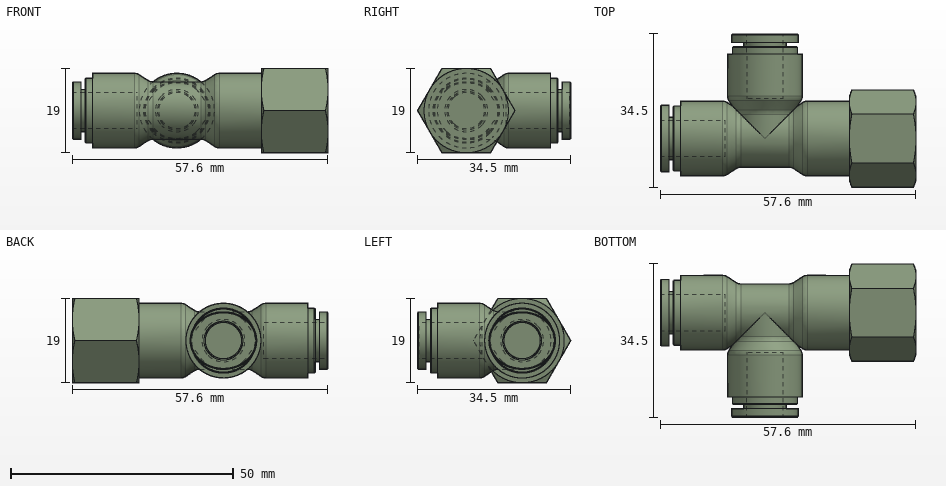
import cadquery as cq
import math


WAIST_DIAMETER = 12.95
SOCKET_DIAMETER = 16.9
WAIST_END = 6.0
SOCKET_START = 9.0
ARM_LENGTH = 19
SHOULDER_FILLET = 1.9

BORE_DIAMETER = 8.2
BORE_MOUTH_CHAMFER = 0.3
MOUTH_CONE_ANGLE = 90

COLLAR_DIAMETER = 14.7
COLLAR_WIDTH = 1.65
COLLAR_CHAMFER = 0.25

NECK_DIAMETER = 9.6
NECK_LENGTH = 0.9
FLANGE_LONG_AXIS = 15.05
FLANGE_SHORT_AXIS = 12.95
FLANGE_THICKNESS = 1.95
FLANGE_CHAMFER = 0.25

HEX_ACROSS_FLATS = 19
HEX_ACROSS_CORNERS = HEX_ACROSS_FLATS / math.cos(math.radians(30))
HEX_LENGTH = 15.05
HEX_CHAMFER_LENGTH = 0.6

LEFT_ARM = cq.Plane(origin=(0, 0, 0), xDir=(0, 1, 0), normal=(-1, 0, 0))
RIGHT_ARM = cq.Plane(origin=(0, 0, 0), xDir=(0, 1, 0), normal=(1, 0, 0))
BRANCH_ARM = cq.Plane(origin=(0, 0, 0), xDir=(1, 0, 0), normal=(0, 1, 0))
TUBE_PORTS = [LEFT_ARM, BRANCH_ARM]


def place(body, arm):
    """Move a body built along local Z onto an arm of the tee."""
    return cq.Workplane(body.val().moved(cq.Location(arm)))


def at_height(height):
    """Workplane across the arm at a given distance from the origin."""
    return cq.Workplane("XY").workplane(offset=height)


def make_arm():
    """Solid arm that widens over a filleted cone from waist to socket."""
    waist_radius = WAIST_DIAMETER / 2
    socket_radius = SOCKET_DIAMETER / 2
    arm = (
        cq.Workplane("XZ")
        .moveTo(0, 0)
        .lineTo(waist_radius, 0)
        .lineTo(waist_radius, WAIST_END)
        .lineTo(socket_radius, SOCKET_START)
        .lineTo(socket_radius, ARM_LENGTH)
        .lineTo(0, ARM_LENGTH)
        .close()
        .revolve(360, (0, 0, 0), (0, 1, 0))
    )
    margin = 0.6
    shoulder_edges = cq.selectors.BoxSelector(
        (-margin, -margin, WAIST_END - margin), (margin, margin, SOCKET_START + margin)
    )
    return arm.edges(shoulder_edges).fillet(SHOULDER_FILLET)


def make_tube_bore():
    """Blind bore from the socket end down to the start of the shoulder."""
    depth = ARM_LENGTH - SOCKET_START
    return at_height(SOCKET_START).circle(BORE_DIAMETER / 2).extrude(depth)


def make_housing():
    housing = place(make_arm(), LEFT_ARM)
    for arm in (RIGHT_ARM, BRANCH_ARM):
        housing = housing.union(place(make_arm(), arm))
    for port in TUBE_PORTS:
        housing = housing.cut(place(make_tube_bore(), port))
    return housing


def make_collar():
    """Ring against the socket end, chamfered on its outer front edge."""
    blank = at_height(ARM_LENGTH).circle(COLLAR_DIAMETER / 2).extrude(COLLAR_WIDTH)
    blank = blank.faces(">Z").edges().chamfer(COLLAR_CHAMFER)
    return blank.faces(">Z").workplane().hole(BORE_DIAMETER)


def make_release_sleeve():
    """Neck standing on the collar, with an oval flange and a chamfered bore."""
    neck_start = ARM_LENGTH + COLLAR_WIDTH
    flange_start = neck_start + NECK_LENGTH
    neck = at_height(neck_start).circle(NECK_DIAMETER / 2).extrude(NECK_LENGTH)
    flange = (
        at_height(flange_start)
        .ellipse(FLANGE_LONG_AXIS / 2, FLANGE_SHORT_AXIS / 2)
        .extrude(FLANGE_THICKNESS)
        .faces(">Z")
        .edges()
        .chamfer(FLANGE_CHAMFER)
    )
    mouth_diameter = BORE_DIAMETER + 2 * BORE_MOUTH_CHAMFER
    return (
        neck.union(flange)
        .faces(">Z")
        .workplane(origin=(0, 0, 0))
        .cskHole(BORE_DIAMETER, mouth_diameter, MOUTH_CONE_ANGLE)
    )


def make_hex_end():
    """Hexagon with corners on +Y and -Y, turned to a cone at both ends."""
    hexagon = at_height(ARM_LENGTH).polygon(6, HEX_ACROSS_CORNERS).extrude(HEX_LENGTH)
    turned_envelope = (
        at_height(ARM_LENGTH)
        .circle(HEX_ACROSS_CORNERS / 2)
        .extrude(HEX_LENGTH)
        .edges("%CIRCLE")
        .chamfer(HEX_CHAMFER_LENGTH, (HEX_ACROSS_CORNERS - HEX_ACROSS_FLATS) / 2)
    )
    return hexagon.intersect(turned_envelope)


housing = make_housing()
hex_end = place(make_hex_end(), RIGHT_ARM)
collars = [place(make_collar(), port) for port in TUBE_PORTS]
release_sleeves = [place(make_release_sleeve(), port) for port in TUBE_PORTS]

result = cq.Compound.makeCompound(
    [
        housing.val(),
        hex_end.val(),
        *[collar.val() for collar in collars],
        *[sleeve.val() for sleeve in release_sleeves],
    ]
)